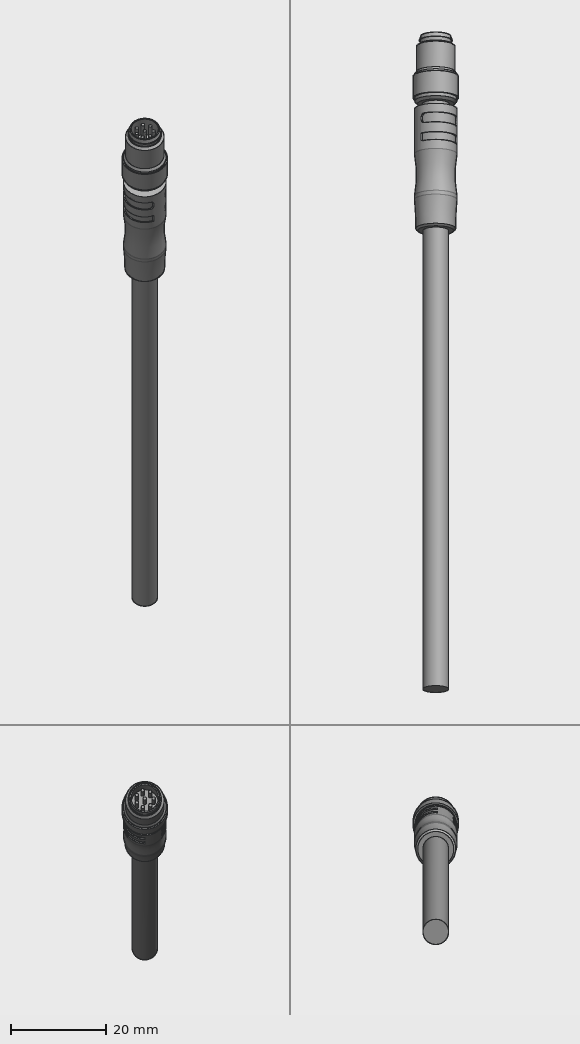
import cadquery as cq
import math

total_length = 142.4
cable_diameter = 5.4
neck_diameter = 5.7

grip_diameter = 9.0
grip_bottom = 100.0
grip_top = 126.5
grip_end_chamfer = 0.4
grip_end_inset = 0.3
flare_depth = 0.21
flare_middle = 103.4
band_bottom = 106.7
band_top = 107.5
waist_depth = 0.4
waist_top = 116.6

recess_depth = 0.3
recess_rib_width = 3.8
upper_recess_bottom = 122.5
upper_recess_height = 2.1
upper_recess_corner = 0.7
lower_recess_bottom = 118.6
lower_recess_height = 1.7
lower_recess_corner = 0.1

collar_diameter = 9.5
collar_bottom = 128.9
collar_top = 133.5
lip_diameter = 8.8
lip_bottom = 127.6
lip_chamfer = 0.5
shoulder_diameter = 9.0
shoulder_cone_bottom = 134.0
shoulder_top = 134.5

body_diameter = 8.1
body_cone_bottom = 140.1
nose_diameter = 7.0
groove_bottom = 140.5
groove_top = 141.4
groove_depth = 0.21
tip_diameter = 6.3

cavity_diameter = 5.7
cavity_depth = 4.7
pin_diameter = 0.7
pin_length = 4.1
pin_circle_radius = 1.9
outer_pin_count = 7


def make_outer_body():
    """Revolve the complete outline of cable, grip, collar and plug around Z."""
    grip_radius = grip_diameter / 2
    grip_end_radius = grip_radius - grip_end_inset
    lip_radius = lip_diameter / 2
    shoulder_radius = shoulder_diameter / 2
    nose_radius = nose_diameter / 2
    waist_middle = (band_top + waist_top) / 2
    outline = (
        cq.Workplane("XZ")
        .lineTo(cable_diameter / 2, 0)
        .lineTo(cable_diameter / 2, grip_bottom)
        .lineTo(grip_end_radius - grip_end_chamfer, grip_bottom)
        .lineTo(grip_end_radius, grip_bottom + grip_end_chamfer)
        .threePointArc((grip_radius - flare_depth, flare_middle), (grip_radius, band_bottom))
        .lineTo(grip_radius, band_top)
        .threePointArc((grip_radius - waist_depth, waist_middle), (grip_radius, waist_top))
        .lineTo(grip_radius, grip_top)
        .lineTo(neck_diameter / 2, grip_top)
        .lineTo(neck_diameter / 2, lip_bottom)
        .lineTo(lip_radius - lip_chamfer, lip_bottom)
        .lineTo(lip_radius, lip_bottom + lip_chamfer)
        .lineTo(lip_radius, collar_bottom)
        .lineTo(collar_diameter / 2, collar_bottom)
        .lineTo(collar_diameter / 2, collar_top)
        .lineTo(shoulder_radius, collar_top)
        .lineTo(shoulder_radius, shoulder_cone_bottom)
        .lineTo(body_diameter / 2, shoulder_top)
        .lineTo(body_diameter / 2, body_cone_bottom)
        .lineTo(nose_radius, groove_bottom)
        .lineTo(nose_radius - groove_depth, groove_bottom)
        .lineTo(nose_radius - groove_depth, groove_top)
        .lineTo(nose_radius, groove_top)
        .lineTo(tip_diameter / 2, total_length)
        .lineTo(0, total_length)
        .close()
    )
    return outline.revolve(360, (0, 0, 0), (0, 1, 0))


def make_recess_pair(bottom, height, corner_radius):
    """Shallow curved recesses on the +Y and -Y sides, parted by a rib on the +X and -X sides."""
    ring = (
        cq.Workplane("XY")
        .workplane(offset=bottom)
        .circle(collar_diameter / 2)
        .circle(grip_diameter / 2 - recess_depth)
        .extrude(height)
    )
    window_width = collar_diameter
    window_center = (recess_rib_width + window_width) / 2
    windows = (
        cq.Workplane("YZ")
        .pushPoints([(side * window_center, bottom + height / 2) for side in (-1, 1)])
        .rect(window_width, height)
        .extrude(collar_diameter / 2, both=True)
        .edges("|X")
        .fillet(corner_radius)
    )
    return ring.intersect(windows)


def make_pins():
    """One central contact pin and a ring of pins, one of them on the +Y side."""
    places = [(0, 0)]
    for number in range(outer_pin_count):
        angle = math.pi / 2 + number * 2 * math.pi / outer_pin_count
        places.append((pin_circle_radius * math.cos(angle), pin_circle_radius * math.sin(angle)))
    return (
        cq.Workplane("XY")
        .workplane(offset=total_length - cavity_depth)
        .pushPoints(places)
        .circle(pin_diameter / 2)
        .extrude(pin_length)
    )


cavity = (
    cq.Workplane("XY")
    .workplane(offset=total_length - cavity_depth)
    .circle(cavity_diameter / 2)
    .extrude(cavity_depth)
)

result = (
    make_outer_body()
    .cut(make_recess_pair(upper_recess_bottom, upper_recess_height, upper_recess_corner))
    .cut(make_recess_pair(lower_recess_bottom, lower_recess_height, lower_recess_corner))
    .cut(cavity)
    .union(make_pins())
)